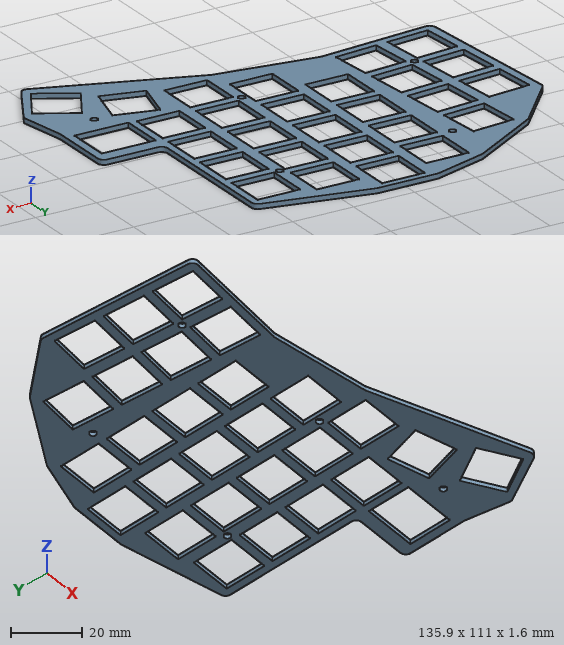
import cadquery as cq

thickness = 1.6
corner_radius = 2.0
screw_diameter = 2.2

switch_size = 14.0
column_pitch = 18.0
row_pitch = 17.0

highest_column_x = -0.5
upright_columns = [
    (-1, 40.4, 4),
    (0, 46.1, 5),
    (1, 40.4, 5),
    (2, 38.0, 4),
]

wide_length = 17.7
wide_height = 14.7
wide_center = (53.7, -13.0)

side_tilt = 5
side_top_x = -40.9
side_top_y = 27.5
side_row_count = 4
side_columns = [(0, 0), (-1, 1)]

thumb_switches = [
    (37.4, -32.1, -15),
    (54.9, -42.5, -30),
]

screw_centers = [
    (-29.6, 31.8),
    (26.4, 30.7),
    (-46.2, -15.8),
    (8.4, -19.2),
    (51.8, -27.3),
]

outline = [
    (-68.0, 17.7),
    (-52.1, 35.8),
    (-28.3, 50.2),
    (-10.5, 55.5),
    (9.5, 55.5),
    (44.9, 47.5),
    (44.9, -1.2),
    (65.4, -1.2),
    (65.4, -23.4),
    (68.1, -38.5),
    (58.3, -56.0),
    (7.3, -37.1),
    (-25.5, -32.1),
    (-63.6, -35.3),
]


def rounded_plate():
    """Plate with every corner of its outline rounded, centred on Z = 0."""
    blank = cq.Workplane("XY").polyline(outline).close().extrude(thickness / 2, both=True)
    return blank.edges("|Z").fillet(corner_radius)


def rectangle_cutter(length, height):
    """Block at the origin that passes right through the plate."""
    return cq.Workplane("XY").box(length, height, 2 * thickness)


def turned(body, tilt):
    """Body turned counterclockwise about the Z axis by tilt degrees."""
    return body.rotate((0, 0, 0), (0, 0, 1), tilt)


def cut_upright_columns(plate):
    for column, top_y, switch_count in upright_columns:
        x = highest_column_x + column * column_pitch
        for row in range(switch_count):
            switch = rectangle_cutter(switch_size, switch_size)
            plate = plate.cut(switch.translate((x, top_y - row * row_pitch, 0)))
    return plate


def cut_wide_switch(plate):
    x, y = wide_center
    return plate.cut(rectangle_cutter(wide_length, wide_height).translate((x, y, 0)))


def cut_side_columns(plate):
    """Cut an upright grid of switches that is turned as a whole about its top switch."""
    for column, first_row in side_columns:
        for row in range(first_row, side_row_count):
            switch = rectangle_cutter(switch_size, switch_size)
            switch = switch.translate((column * column_pitch, -row * row_pitch, 0))
            plate = plate.cut(turned(switch, side_tilt).translate((side_top_x, side_top_y, 0)))
    return plate


def cut_thumb_switches(plate):
    for x, y, tilt in thumb_switches:
        switch = turned(rectangle_cutter(switch_size, switch_size), tilt)
        plate = plate.cut(switch.translate((x, y, 0)))
    return plate


def cut_screw_holes(plate):
    screws = cq.Workplane("XY").pushPoints(screw_centers).circle(screw_diameter / 2)
    return plate.cut(screws.extrude(thickness, both=True))


plate = rounded_plate()
plate = cut_upright_columns(plate)
plate = cut_wide_switch(plate)
plate = cut_side_columns(plate)
plate = cut_thumb_switches(plate)
result = cut_screw_holes(plate)